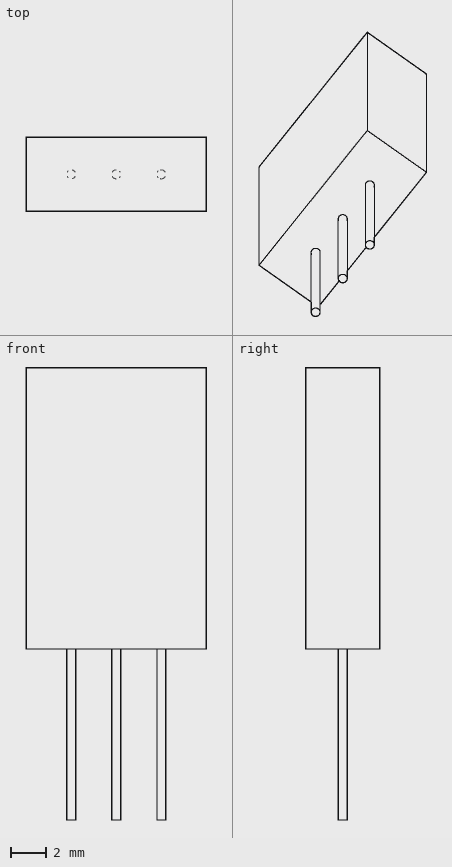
import cadquery as cq

HOUSING_WIDTH = 10.16
HOUSING_DEPTH = 4.19
HOUSING_HEIGHT = 15.88

OVERALL_HEIGHT = 25.53
PIN_DIAMETER = 0.51
PIN_PITCH = 2.54
PIN_COUNT = 3
PIN_LENGTH = OVERALL_HEIGHT - HOUSING_HEIGHT


def make_housing():
    """Plain rectangular block standing on the XY plane."""
    return cq.Workplane("XY").box(
        HOUSING_WIDTH, HOUSING_DEPTH, HOUSING_HEIGHT, centered=(True, True, False)
    )


def make_pin(x):
    """Straight round lead that starts at the housing underside and runs down."""
    return cq.Workplane("XY").center(x, 0).circle(PIN_DIAMETER / 2).extrude(-PIN_LENGTH)


housing = make_housing()

first_pin_x = -PIN_PITCH * (PIN_COUNT - 1) / 2
pins = [make_pin(first_pin_x + index * PIN_PITCH) for index in range(PIN_COUNT)]

result = cq.Compound.makeCompound([housing.val(), *[pin.val() for pin in pins]])